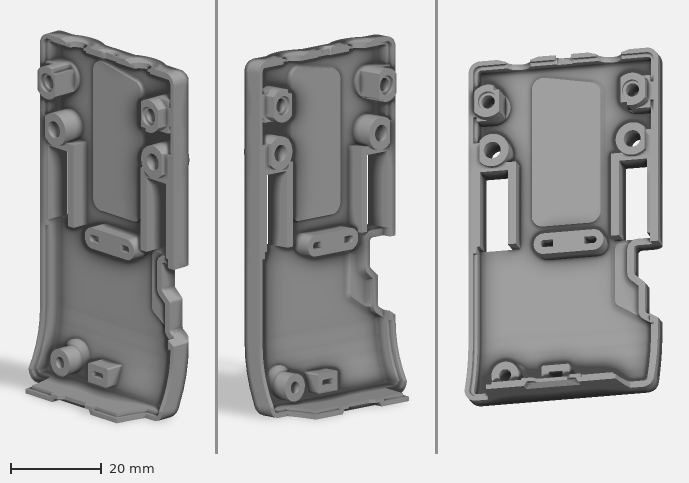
import cadquery as cq
import math

WIDTH = 43.25
LENGTH = 79.8
HALF_WIDTH = WIDTH / 2
WALL = 1.8
CORNER_R = 2.6
BACK_FILLET = 2.55
RIM = 6.0
FRONT = 23.95
MARGIN = 4.0
SLACK = 0.1

BEND_Z = 15.95
BEND_R = 33.5
CHIN_Z = 2.6

SKIN = 1.0
REBATE = 0.95
REBATE_GAPS = (
    ((-HALF_WIDTH, 0), (66.95, 72.3)),
    ((0, HALF_WIDTH), (67.7, 71.8)),
    ((-HALF_WIDTH, 0), (35.35, 60.9)),
    ((0, HALF_WIDTH), (BEND_Z, 60.9)),
)

FLANGE_DEPTH = 16.7
FLANGE_ROOT_X = 16.6
FLANGE_TIP_X = 14.8
FLANGE_KNEE = 0.35
FLANGE_STEP = 0.95
FLANGE_TONGUE_X = 6.8
TIP_NOTCH_DEPTH = 1.2
TIP_NOTCH_MOUTH_X = 4.2
TIP_NOTCH_FLOOR_X = 3.35
TIP_BEVEL_MOUTH_X = 6.2
TIP_BEVEL_TOP_X = 5.6

UPPER_POST_Z = 69.7
UPPER_POST_R = 3.75
UPPER_POST_TIP = 8.5
UPPER_PAD_RISE = 0.95
UPPER_HOLE_R = 1.5
UPPER_MOUTH_R = 2.15
UPPER_MOUTH_DEPTH = 0.8
LEFT_POST_X, RIGHT_POST_X = -16.7, 16.2
LEFT_POST_FLAT_X, RIGHT_POST_FLAT_X = -14.0, 13.7
LEFT_POST_OUTER_X, RIGHT_POST_OUTER_X = -19.6, 19.3
LEFT_POST_CORNER = (-15.25, 72.05)
RIGHT_POST_CORNER = (15.25, 66.7)

MID_POST_X = 15.95
MID_POST_Z = 58.65
MID_POST_R = 3.75
MID_POST_TIP = 7.0
MID_POST_LIMIT_X = 18.8
MID_BRIDGE_TOP = 60.9
MID_HOLE_R = 1.9
MID_DISC_R = 4.3
MID_DISC_DEPTH = 1.6

WINDOW_X = (12.7, 19.1)
WINDOW_Z = (36.9, 54.1)
FRAME = 1.8
FRAME_TIP = 5.9

PANEL_LEFT, PANEL_RIGHT = -8.05, 7.6
PANEL_BOTTOM = 41.4
PANEL_TOP_LEFT, PANEL_TOP_RIGHT = 76.45, 73.6
PANEL_R = 2.55
PANEL_RISE = 0.8
PANEL_FOOT_R = 0.6

LOWER_POST_X, LOWER_POST_Z = -12.7, 5.75
LOWER_POST_R = 3.1
LOWER_FOOT_R = 4.3
LOWER_POST_TIP = 8.3
LOWER_FOOT_DEPTH = 4.3
LOWER_FOOT_CYLINDER = 3.2
LOWER_HOLE_R = 1.35

BOSS_X = (-6.6, 9.25)
BOSS_Z = (33.75, 38.55)
BOSS_TIP = 6.5
BOSS_END_R = 2.3
BOSS_SLOT_R = 0.7
BOSS_SLOT_HEIGHT = 1.6
BOSS_SLOT_LENGTH = 2.8
BOSS_SLOT_INSET = 1.6

BLOCK_X = (-4.55, 1.75)
BLOCK_Z = (3.0, 7.5)
BLOCK_TIP = 7.4
BLOCK_SLOT_X = (-3.0, 0.2)
BLOCK_SLOT_Z = (4.6, 6.0)
BLOCK_R = 0.4

PORT_X = 10.4
PORT_R = 2.8
PORT_DISH_R = 4.7
PORT_DISH_DEPTH = 0.55
HUMP_R = 10.4
HUMP_SHIFT = 0.5
HUMP_LENGTH = 2.4
HUMP_BULGE = 0.95
HUMP_TOP_DEPTH = 0.6

SOCKET_FLARE = 1.1
SOCKET_FLARE_DEPTH = 0.5
SOCKET_HALF = 2.2
SOCKET_BACK = 4.55
SOCKET_SHOULDER = 1.1
SOCKET_GAP = 1.75
SOCKET_LIP = 5.6

NOTCH_WALL = 1.5
NOTCH_WALL_TIP = 4.0
NOTCH_WALL_FOOT_R = 1.3
NOTCH_X_DEEP, NOTCH_X_SHALLOW = 15.6, 18.1
NOTCH_TOP, NOTCH_BOTTOM = 34.8, 17.0
NOTCH_DEEP_END, NOTCH_SHALLOW_TOP, NOTCH_SHALLOW_END = 28.25, 26.1, 19.15
NOTCH_SLANT = (NOTCH_SHALLOW_END - NOTCH_BOTTOM) / (HALF_WIDTH - NOTCH_X_SHALLOW)
NOTCH_R = 0.8
FOOT_PICK_Z = 21.55
LEDGE_LEFT = 11.25
LEDGE_TOP = 35.75
LEDGE_CORNER_R = 0.8
LEDGE_SLANT_Z = 22.35
LEDGE_RISE = 0.6
LEDGE_FOOT_R = 1.7


def at_depth(depth):
    """Workplane parallel to the back; its extrusions grow forwards."""
    return cq.Workplane("XZ", origin=(0, -depth, 0))


def block(x_range, z_range, depth_from, depth_to):
    x0, x1 = x_range
    z0, z1 = z_range
    return (at_depth(depth_from).center((x0 + x1) / 2, (z0 + z1) / 2)
            .rect(x1 - x0, z1 - z0).extrude(depth_to - depth_from))


def cylinder(x, z, radius, depth_from, depth_to):
    return at_depth(depth_from).center(x, z).circle(radius).extrude(depth_to - depth_from)


def mirrored(x_range, side):
    return tuple(sorted(side * x for x in x_range))


def bend(radius, z):
    """Depth at height z of an arc that curves forwards below the start of the bend."""
    return BEND_R - math.sqrt(radius ** 2 - (BEND_Z - z) ** 2)


def case_envelope(inset):
    """Solid inside the case outline moved inwards by inset, open-ended towards the front."""
    middle = (BEND_Z + inset) / 2
    radius = BEND_R - inset
    solid = (cq.Workplane("YZ", origin=(-HALF_WIDTH + inset, 0, 0))
             .moveTo(-inset, LENGTH - inset)
             .lineTo(-inset, BEND_Z)
             .threePointArc((-bend(radius, middle), middle), (-bend(radius, inset), inset))
             .lineTo(-FRONT, inset)
             .lineTo(-FRONT, LENGTH - inset)
             .close().extrude(WIDTH - 2 * inset))
    solid = solid.edges("|Y").fillet(CORNER_R - inset)
    return solid.faces(">Y").edges(">Z").fillet(BACK_FILLET - inset)


def in_front_of_rim(lowering):
    """Everything in front of the rim line, with that line lowered towards the back."""
    depth = RIM - lowering
    radius = BEND_R - depth
    middle = (BEND_Z + CHIN_Z) / 2
    chin = -bend(radius, CHIN_Z)
    return (cq.Workplane("YZ", origin=(-HALF_WIDTH - MARGIN, 0, 0))
            .moveTo(-depth, LENGTH + MARGIN)
            .lineTo(-depth, BEND_Z)
            .threePointArc((-bend(radius, middle), middle), (chin, CHIN_Z))
            .lineTo(chin, -MARGIN)
            .lineTo(-FRONT - MARGIN, -MARGIN)
            .lineTo(-FRONT - MARGIN, LENGTH + MARGIN)
            .close().extrude(WIDTH + 2 * MARGIN))


def case_shell():
    shell = case_envelope(0).cut(case_envelope(WALL)).cut(in_front_of_rim(0))
    rebate = case_envelope(SKIN).intersect(in_front_of_rim(REBATE))
    for x_range, z_range in REBATE_GAPS:
        rebate = rebate.cut(block(x_range, z_range, 0, FRONT + MARGIN))
    return shell.cut(rebate)


def flange_outline(border, root, tip):
    """Plate outline in the XY plane whose sides curve in towards the tip."""
    root_x = FLANGE_ROOT_X - border
    tip_x = FLANGE_TIP_X - border
    knee = (tip_x + FLANGE_KNEE * (root_x - tip_x), -(root + tip) / 2)
    return (cq.Workplane("XY")
            .moveTo(-root_x, -root)
            .threePointArc((-knee[0], knee[1]), (-tip_x, -tip))
            .lineTo(tip_x, -tip)
            .threePointArc(knee, (root_x, -root))
            .close())


def bottom_flange():
    root = bend(BEND_R - RIM + REBATE, CHIN_Z)
    flange = flange_outline(0, root, FLANGE_DEPTH).extrude(SKIN)
    inner = flange_outline(FLANGE_STEP, root, FLANGE_DEPTH - FLANGE_STEP).extrude(WALL)
    tongue = block((-FLANGE_TONGUE_X, FLANGE_TONGUE_X), (0, WALL), root, FLANGE_DEPTH)
    notch_floor = FLANGE_DEPTH - TIP_NOTCH_DEPTH
    notch = (cq.Workplane("XY")
             .polyline([(-TIP_NOTCH_MOUTH_X, -FLANGE_DEPTH), (-TIP_NOTCH_FLOOR_X, -notch_floor),
                        (TIP_NOTCH_FLOOR_X, -notch_floor), (TIP_NOTCH_MOUTH_X, -FLANGE_DEPTH)])
             .close().extrude(WALL))
    bevel = (cq.Workplane("XY")
             .center(0, -FLANGE_DEPTH)
             .rect(2 * TIP_BEVEL_MOUTH_X, 2 * (TIP_NOTCH_DEPTH + SKIN))
             .workplane(offset=SKIN)
             .rect(2 * TIP_BEVEL_TOP_X, 2 * TIP_NOTCH_DEPTH)
             .loft())
    return flange.union(inner).union(tongue).cut(notch).cut(bevel)


def upper_post(x, flat_x, outer_x, corner):
    """Post with a flat towards the middle, a flat beside the wall and one cut corner."""
    corner_x, corner_z = corner
    pad_top = WALL + UPPER_PAD_RISE
    z_range = (UPPER_POST_Z - UPPER_POST_R, UPPER_POST_Z + UPPER_POST_R)
    away_z = corner_z + math.copysign(UPPER_POST_R, corner_z - UPPER_POST_Z)

    post = cylinder(x, UPPER_POST_Z, UPPER_POST_R, 0, UPPER_POST_TIP)
    post = post.intersect(block(sorted((outer_x, flat_x)), z_range, 0, UPPER_POST_TIP))
    post = post.cut(block(sorted((corner_x, 0)), sorted((corner_z, away_z)), 0, UPPER_POST_TIP))
    pad = cylinder(x, UPPER_POST_Z, UPPER_POST_R, 0, pad_top)
    wall_x = math.copysign(HALF_WIDTH - WALL, x)
    link = block(sorted((wall_x, x)), z_range, 0, RIM)
    hole = cylinder(x, UPPER_POST_Z, UPPER_HOLE_R, WALL, UPPER_POST_TIP)
    mouth = cylinder(x, UPPER_POST_Z, UPPER_MOUTH_R, UPPER_POST_TIP - UPPER_MOUTH_DEPTH, UPPER_POST_TIP)
    return post.union(pad).union(link).cut(hole).cut(mouth)


def middle_post(side):
    """Round post linked to the side wall; its tip stops short of the wall."""
    x = side * MID_POST_X
    z_range = (MID_POST_Z - MID_POST_R, MID_POST_Z + MID_POST_R)
    post = cylinder(x, MID_POST_Z, MID_POST_R, 0, MID_POST_TIP)
    post = post.cut(block(mirrored((MID_POST_LIMIT_X, HALF_WIDTH), side), z_range, FRAME_TIP, MID_POST_TIP))
    link = block(mirrored((MID_POST_LIMIT_X, HALF_WIDTH - SKIN), side),
                 (WINDOW_Z[1], MID_BRIDGE_TOP), 0, FRAME_TIP)
    return post.union(link)


def back_disc(side):
    """Flat disc around a middle screw hole that fills the rounded back edge."""
    return cylinder(side * MID_POST_X, MID_POST_Z, MID_DISC_R, 0, MID_DISC_DEPTH)


def window_frame(side):
    """Frame on three sides of a window, open at the bottom."""
    x_range = mirrored((WINDOW_X[0] - FRAME, HALF_WIDTH - SKIN), side)
    frame = block(x_range, (WINDOW_Z[0], WINDOW_Z[1] + FRAME), 0, FRAME_TIP)
    return frame.cut(block(mirrored(WINDOW_X, side), WINDOW_Z, 0, FRAME_TIP))


def on_filleted_foot(outline, rise, foot_radius, left_corner_radius=0):
    """Raise a closed outline from the floor on a concave foot, cut off at the given rise."""
    raised = outline.extrude(rise + 2 * foot_radius)
    if left_corner_radius > 0:
        raised = raised.edges("|Y and <X").fillet(left_corner_radius)
    box = raised.val().BoundingBox()
    spread = 2 * foot_radius
    x_range = (box.xmin - spread, box.xmax + spread)
    z_range = (box.zmin - spread, box.zmax + spread)
    raised = raised.union(block(x_range, z_range, WALL / 2, WALL))
    foot = cq.selectors.BoxSelector((box.xmin - spread / 2, -WALL - spread / 4, box.zmin - spread / 2),
                                    (box.xmax + spread / 2, -WALL + spread / 4, box.zmax + spread / 2),
                                    boundingbox=True)
    raised = raised.edges(foot).fillet(foot_radius)
    return raised.cut(block(x_range, z_range, WALL + rise, FRONT))


def raised_panel():
    """Panel with a slanting top edge."""
    outline = (cq.Sketch()
               .polygon([(PANEL_LEFT, PANEL_BOTTOM), (PANEL_RIGHT, PANEL_BOTTOM),
                         (PANEL_RIGHT, PANEL_TOP_RIGHT), (PANEL_LEFT, PANEL_TOP_LEFT),
                         (PANEL_LEFT, PANEL_BOTTOM)])
               .vertices().fillet(PANEL_R))
    return on_filleted_foot(at_depth(WALL).placeSketch(outline), PANEL_RISE, PANEL_FOOT_R)


def lower_post():
    """Post on a round foot that narrows to the post in a short cone."""
    foot = cylinder(LOWER_POST_X, LOWER_POST_Z, LOWER_FOOT_R, 0, LOWER_FOOT_CYLINDER)
    cone = (at_depth(LOWER_FOOT_CYLINDER).center(LOWER_POST_X, LOWER_POST_Z).circle(LOWER_FOOT_R)
            .workplane(offset=LOWER_FOOT_DEPTH - LOWER_FOOT_CYLINDER).circle(LOWER_POST_R).loft())
    post = cylinder(LOWER_POST_X, LOWER_POST_Z, LOWER_POST_R, 0, LOWER_POST_TIP)
    return foot.union(cone).union(post)


def slotted_boss():
    boss = block(BOSS_X, BOSS_Z, 0, BOSS_TIP)
    return boss.edges("|Y").fillet(BOSS_END_R)


def boss_slots():
    """Two through slots, each with its outer end rounded."""
    middle_z = sum(BOSS_Z) / 2
    z_range = (middle_z - BOSS_SLOT_HEIGHT / 2, middle_z + BOSS_SLOT_HEIGHT / 2)
    left = BOSS_X[0] + BOSS_SLOT_INSET
    right = BOSS_X[1] - BOSS_SLOT_INSET
    left_slot = block((left, left + BOSS_SLOT_LENGTH), z_range, -MARGIN, FRONT)
    right_slot = block((right - BOSS_SLOT_LENGTH, right), z_range, -MARGIN, FRONT)
    return (left_slot.edges("|Y and <X").fillet(BOSS_SLOT_R)
            .union(right_slot.edges("|Y and >X").fillet(BOSS_SLOT_R)))


def small_block():
    return block(BLOCK_X, BLOCK_Z, 0, BLOCK_TIP).edges("|Y").fillet(BLOCK_R)


def block_slot():
    slot = block(BLOCK_SLOT_X, BLOCK_SLOT_Z, -MARGIN, FRONT)
    return slot.edges("|Y and >Z").fillet(BLOCK_R)


def port_hump(side):
    """Arched swelling that carries the end face beside a port out to the back."""
    x = side * (PORT_X - HUMP_SHIFT)
    hump = (cq.Workplane("XY", origin=(x, -HUMP_R, LENGTH - HUMP_LENGTH))
            .center(0, HUMP_BULGE).circle(HUMP_R)
            .workplane(offset=HUMP_LENGTH)
            .center(0, -HUMP_BULGE - HUMP_TOP_DEPTH).circle(HUMP_R).loft())
    end_wall = block((-HALF_WIDTH, HALF_WIDTH), (LENGTH - WALL, LENGTH), 0, BACK_FILLET + WALL / 2)
    return hump.intersect(end_wall)


def port_cut(x):
    hole = (cq.Workplane("XY", origin=(x, -RIM, LENGTH - WALL - MARGIN))
            .circle(PORT_R).extrude(WALL + 2 * MARGIN))
    dish = (cq.Workplane("XY", origin=(x, -RIM, LENGTH - PORT_DISH_DEPTH))
            .circle(PORT_R).workplane(offset=PORT_DISH_DEPTH).circle(PORT_DISH_R).loft())
    return hole.union(dish)


def socket_outline(bottom, growth):
    """Arched opening in the end wall, enlarged at the back and sides by growth."""
    half = SOCKET_HALF + growth
    back = SOCKET_BACK - growth
    shoulder = SOCKET_SHOULDER + growth
    return (cq.Workplane("XY", origin=(0, 0, bottom))
            .polyline([(-half, -SOCKET_LIP), (-half, -back - shoulder / 2), (-half + shoulder, -back),
                       (half - shoulder, -back), (half, -back - shoulder / 2), (half, -SOCKET_LIP)])
            .close())


def socket_cut():
    opening = socket_outline(LENGTH - WALL - MARGIN, 0).extrude(WALL + MARGIN)
    flare_bottom = socket_outline(LENGTH - SOCKET_FLARE_DEPTH, 0).wires().val()
    flare_top = socket_outline(LENGTH, SOCKET_FLARE).wires().val()
    flare = cq.Workplane(cq.Solid.makeLoft([flare_bottom, flare_top], True))
    gap = block((-SOCKET_GAP, SOCKET_GAP), (LENGTH - WALL - MARGIN, LENGTH), SOCKET_BACK, RIM + MARGIN)
    return opening.union(flare).union(gap)


def notch_prism(depth):
    """Shape of the side notch from the given depth up to the front."""
    outer_x = HALF_WIDTH + MARGIN
    return (at_depth(depth)
            .polyline([(outer_x, NOTCH_TOP), (NOTCH_X_DEEP, NOTCH_TOP), (NOTCH_X_DEEP, NOTCH_DEEP_END),
                       (NOTCH_X_SHALLOW, NOTCH_SHALLOW_TOP), (NOTCH_X_SHALLOW, NOTCH_SHALLOW_END),
                       (outer_x, NOTCH_BOTTOM - NOTCH_SLANT * MARGIN)])
            .close().extrude(FRONT - depth)
            .edges("|Y").fillet(NOTCH_R))


def notch_surround():
    """Upright wall along the side notch, standing on a ledge raised from the floor."""
    outer_x = HALF_WIDTH + MARGIN
    ledge_end = LEDGE_SLANT_Z - NOTCH_SLANT * (outer_x - LEDGE_LEFT)
    outline = (at_depth(WALL)
               .polyline([(LEDGE_LEFT, LEDGE_TOP), (outer_x, LEDGE_TOP), (outer_x, ledge_end),
                          (LEDGE_LEFT, LEDGE_SLANT_Z)])
               .close())
    ledge = on_filleted_foot(outline, LEDGE_RISE, LEDGE_FOOT_R, LEDGE_CORNER_R)
    wall = (notch_prism(WALL / 2).faces(">Y").wires().toPending()
            .offset2D(NOTCH_WALL).extrude(NOTCH_WALL_TIP - WALL / 2, combine=False))
    ledge_depth = WALL + LEDGE_RISE
    foot = cq.selectors.BoxSelector(
        (NOTCH_X_DEEP - 2 * NOTCH_WALL, -ledge_depth - SLACK, FOOT_PICK_Z),
        (NOTCH_X_SHALLOW - SLACK, -ledge_depth + SLACK, LEDGE_TOP))
    surround = ledge.union(wall).edges(foot).fillet(NOTCH_WALL_FOOT_R)
    return surround.intersect(case_envelope(0))


inner_features = [
    upper_post(LEFT_POST_X, LEFT_POST_FLAT_X, LEFT_POST_OUTER_X, LEFT_POST_CORNER),
    upper_post(RIGHT_POST_X, RIGHT_POST_FLAT_X, RIGHT_POST_OUTER_X, RIGHT_POST_CORNER),
    raised_panel(), lower_post(), slotted_boss(), small_block(), notch_surround(),
]
outer_features = [bottom_flange()]
cuts = [
    boss_slots(), block_slot(), socket_cut(), notch_prism(-MARGIN),
    cylinder(LOWER_POST_X, LOWER_POST_Z, LOWER_HOLE_R, -MARGIN, FRONT),
]
for side in (-1, 1):
    inner_features += [middle_post(side), window_frame(side)]
    outer_features += [back_disc(side), port_hump(side)]
    cuts += [
        block(mirrored(WINDOW_X, side), WINDOW_Z, -MARGIN, FRONT),
        cylinder(side * MID_POST_X, MID_POST_Z, MID_HOLE_R, -MARGIN, FRONT),
        port_cut(side * PORT_X),
    ]

result = case_shell()
for feature in inner_features:
    result = result.union(feature.intersect(case_envelope(0)))
for feature in outer_features:
    result = result.union(feature)
for cut in cuts:
    result = result.cut(cut)